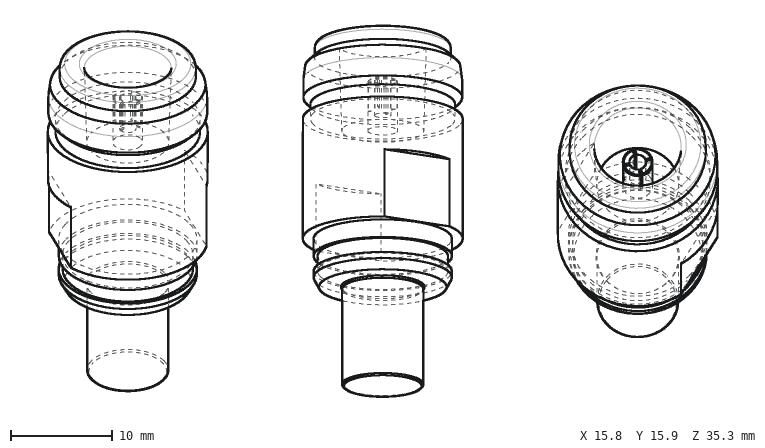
import cadquery as cq
import math

length = 35.3

sleeve_r = 4.02
sleeve_chamfer = 0.18
sleeve_flare = 0.1
sleeve_flare_z = 10.0

ring_r = 6.85
ring_bottom_z = 10.2
ring_taper_z = 11.2
ring_end_r = 6.32
rear_groove_r = 6.45
rear_groove_z = 11.83
shoulder_z = 13.38

collar_r = 7.925
collar_bottom_z = 15.18
collar_top_z = 27.55
flat_distance = 7.02
flat_top_z = 22.1

neck_r = 7.15
neck_top_z = 29.0
rim_r = 7.87
rim_bottom_z = 29.72
rim_top_z = 31.55
rim_taper_r = 7.7
rim_taper_z = 32.95
nose_r = 6.75
nose_bottom_z = 33.8
edge_radius = 0.5

bore_mouth_r = 4.3
bore_floor_r = 4.05
bore_floor_z = length - 9.0

contact_r = 1.5
contact_chamfer = 0.1
contact_top_z = length - 3.9
contact_hole_r = 0.8
contact_hole_depth = 3.53
contact_slot_width = 0.2
contact_slot_depth = 3.0


def make_body():
    """Revolve the outer profile and the socket as one half section."""
    mouth_z = length - edge_radius
    arc_mid = edge_radius * (1 - math.sqrt(0.5))
    mouth_arc_mid_r = bore_mouth_r + arc_mid
    profile = (
        cq.Workplane("XZ")
        .lineTo(sleeve_r - sleeve_chamfer, 0)
        .lineTo(sleeve_r, sleeve_chamfer)
        .lineTo(sleeve_r, sleeve_flare_z)
        .lineTo(sleeve_r + sleeve_flare, ring_bottom_z)
        .lineTo(ring_end_r, ring_bottom_z)
        .lineTo(ring_r, ring_taper_z)
        .lineTo(ring_r, rear_groove_z)
        .lineTo(rear_groove_r, rear_groove_z)
        .lineTo(rear_groove_r, shoulder_z)
        .lineTo(ring_r, shoulder_z)
        .lineTo(ring_r, collar_bottom_z)
        .lineTo(collar_r, collar_bottom_z)
        .lineTo(collar_r, collar_top_z)
        .lineTo(neck_r, collar_top_z)
        .lineTo(neck_r, neck_top_z)
        .lineTo(rim_r, rim_bottom_z)
        .lineTo(rim_r, rim_top_z)
        .lineTo(rim_taper_r, rim_taper_z)
        .lineTo(nose_r, nose_bottom_z)
        .lineTo(nose_r, mouth_z)
        .threePointArc((nose_r - arc_mid, length - arc_mid), (nose_r - edge_radius, length))
        .lineTo(bore_mouth_r + edge_radius, length)
        .threePointArc((mouth_arc_mid_r, length - arc_mid), (bore_mouth_r, mouth_z))
        .lineTo(bore_floor_r, bore_floor_z)
        .lineTo(0, bore_floor_z)
        .close()
    )
    return profile.revolve(360, (0, 0, 0), (0, 1, 0))


def cut_flats(body):
    """Mill a flat on the -Y and +Y sides of the collar's lower part."""
    flat_height = flat_top_z - collar_bottom_z
    flat_depth = collar_r - flat_distance
    for side in (-1, 1):
        cutter = (
            cq.Workplane("XY", origin=(0, side * (flat_distance + flat_depth / 2), collar_bottom_z))
            .box(2 * collar_r, flat_depth, flat_height, centered=(True, True, False))
        )
        body = body.cut(cutter)
    return body


def make_contact():
    """Hollow contact standing on the socket floor, split by two crossed slots."""
    contact = (
        cq.Workplane("XY", origin=(0, 0, bore_floor_z))
        .circle(contact_r)
        .extrude(contact_top_z - bore_floor_z)
        .faces(">Z")
        .chamfer(contact_chamfer)
    )
    tip = cq.Workplane("XY", origin=(0, 0, contact_top_z))
    contact = contact.cut(tip.circle(contact_hole_r).extrude(-contact_hole_depth))
    for angle in (45, 135):
        slot = tip.rect(2 * contact_r, contact_slot_width).extrude(-contact_slot_depth)
        contact = contact.cut(slot.rotate((0, 0, 0), (0, 0, 1), angle))
    return contact


result = cut_flats(make_body()).union(make_contact())